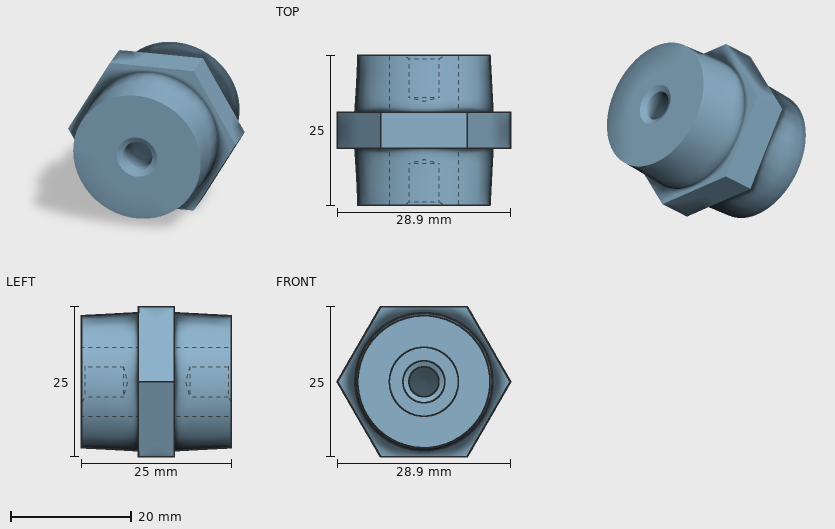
import cadquery as cq
import math


hex_corner_diameter = 28.87
hex_across_flats = hex_corner_diameter * math.sqrt(3) / 2
hex_thickness = 6.0
body_length = hex_across_flats
end_diameter = 22.0
shoulder_diameter = 23.0

insert_diameter = 11.5
insert_length = (body_length - hex_thickness) / 2
hole_diameter = 5.0
hole_depth = 7.0
drill_point_angle = 150.0
countersink_diameter = 7.0
countersink_angle = 120.0

half_length = body_length / 2
half_hex = hex_thickness / 2
END_SIGNS = (-1, 1)


def cone_height(radius, included_angle):
    """Height over which a cone of this included angle changes by this radius."""
    return radius / math.tan(math.radians(included_angle / 2))


def revolve_about_y(profile):
    """Turn a closed XY profile into a solid of revolution about the Y axis."""
    return profile.close().revolve(360, (0, 0, 0), (0, 1, 0))


def make_hex_collar():
    """Hexagonal collar centred on the origin, with corners on the X axis."""
    return (
        cq.Workplane("XZ")
        .polygon(6, hex_corner_diameter)
        .extrude(half_hex, both=True)
    )


def make_barrel(end_sign):
    """Round end that tapers from the collar to the end face."""
    return revolve_about_y(
        cq.Workplane("XY")
        .moveTo(0, end_sign * half_hex)
        .lineTo(0, end_sign * half_length)
        .lineTo(end_diameter / 2, end_sign * half_length)
        .lineTo(shoulder_diameter / 2, end_sign * half_hex)
    )


def make_insert_blank(end_sign):
    """Plain round insert, flush with the end face of the body."""
    return (
        cq.Workplane("XZ", origin=(0, end_sign * half_length, 0))
        .circle(insert_diameter / 2)
        .extrude(end_sign * insert_length)
    )


def make_hole(end_sign):
    """Countersunk blind hole with a conical drill point."""
    hole_radius = hole_diameter / 2
    countersink_radius = countersink_diameter / 2
    countersink_depth = cone_height(countersink_radius - hole_radius, countersink_angle)
    tip_depth = hole_depth + cone_height(hole_radius, drill_point_angle)

    def at_depth(radius, depth):
        return (radius, end_sign * (half_length - depth))

    return revolve_about_y(
        cq.Workplane("XY")
        .moveTo(*at_depth(0, 0))
        .lineTo(*at_depth(countersink_radius, 0))
        .lineTo(*at_depth(hole_radius, countersink_depth))
        .lineTo(*at_depth(hole_radius, hole_depth))
        .lineTo(*at_depth(0, tip_depth))
    )


def make_insert(end_sign):
    """Threaded insert for one end of the body."""
    return make_insert_blank(end_sign).cut(make_hole(end_sign))


def make_body():
    """Moulded body with a recess in each end that fits an insert."""
    body = make_hex_collar()
    for end_sign in END_SIGNS:
        body = body.union(make_barrel(end_sign))
    for end_sign in END_SIGNS:
        body = body.cut(make_insert_blank(end_sign))
    return body


body = make_body()
inserts = [make_insert(end_sign) for end_sign in END_SIGNS]

result = cq.Compound.makeCompound([body.val(), *(insert.val() for insert in inserts)])